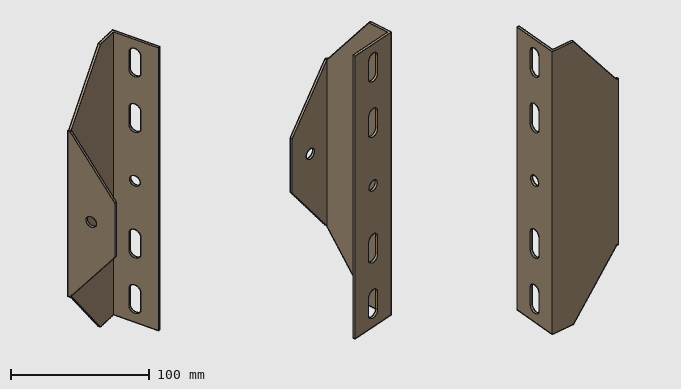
import cadquery as cq

depth = 40.0
width = 62.0
height = 250.0
thickness = 2.0

bend_height = 146.5
front_tip_height = 48.0
web_end_width = 20.0

web_step = 1.7

hole_x = depth / 2
bolt_diameter = 9.0
slot_length = 25.0
slot_width = 10.0
outer_slot_z = 104.5
inner_slot_z = 55.5

front_y = -width / 2
back_y = width / 2


def make_web():
    """Side wall at X = 0, with two corners cut away beside the front bend."""
    outline = [
        (back_y, -height / 2),
        (back_y, height / 2),
        (back_y - web_end_width, height / 2),
        (front_y + web_step, bend_height / 2),
        (front_y, bend_height / 2),
        (front_y, -bend_height / 2),
        (front_y + web_step, -bend_height / 2),
        (back_y - web_end_width, -height / 2),
    ]
    return cq.Workplane("YZ").polyline(outline).close().extrude(thickness)


def make_bolt_hole(plane):
    """Round cutter at mid-height of the flange that starts on the given plane."""
    return plane.center(hole_x, 0).circle(bolt_diameter / 2).extrude(thickness)


def make_front_flange():
    """Tapered flange with a round bolt hole."""
    outline = [
        (0, -bend_height / 2),
        (0, bend_height / 2),
        (thickness, bend_height / 2),
        (depth, front_tip_height / 2),
        (depth, -front_tip_height / 2),
        (thickness, -bend_height / 2),
    ]
    plane = cq.Workplane("XZ", origin=(0, front_y + thickness, 0))
    flange = plane.polyline(outline).close().extrude(thickness)
    return flange.cut(make_bolt_hole(plane))


def make_back_flange():
    """Full-height rectangular flange with four upright slots and a round bolt hole."""
    plane = cq.Workplane("XZ", origin=(0, back_y, 0))
    flange = plane.center(depth / 2, 0).rect(depth, height).extrude(thickness)
    slot_centres = [
        (hole_x, side * slot_z)
        for side in (-1, 1)
        for slot_z in (inner_slot_z, outer_slot_z)
    ]
    slots = plane.pushPoints(slot_centres).slot2D(slot_length, slot_width, 90).extrude(thickness)
    return flange.cut(slots).cut(make_bolt_hole(plane))


result = make_web().union(make_front_flange()).union(make_back_flange())